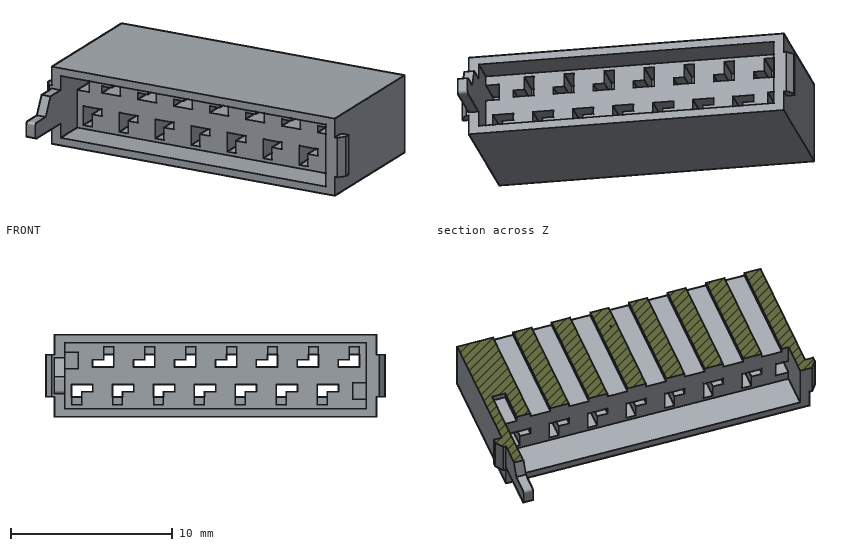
import cadquery as cq

housing_length = 19.99
housing_depth = 9.09
housing_height = 5.1

side_wall = 0.63
top_wall = 0.5
cavity_depth = 2.15
cavity_length = housing_length - 2 * side_wall
cavity_height = housing_height - 2 * top_wall

slots_per_row = 7
slot_row_span = 15.23
slot_pitch = slot_row_span / (slots_per_row - 1)
slot_width = 1.3
leg_width = 0.6
slot_inner_z = 0.55
slot_arm_z = 0.99
slot_through_z = 1.3
slot_outer_z = 1.8
slot_step_depth = 2.15

key_width = 0.85
key_height = 1.0
key_inner_z = 0.45
key_depth = 2.15

tab_reach = 0.53
tab_depth = 0.82
tab_height = 2.6
tab_tip_flat = 0.34
tab_front_reach = 0.17

peg_length = 3.3
peg_height = 2.2
peg_tip_height = 1.05
peg_shoulder = 1.33
peg_slope_end = 1.94
peg_tip_radius = 0.19


def box(x_min, x_max, y_min, y_max, z_min, z_max):
    """Axis-aligned block between the given limits."""
    size = (x_max - x_min, y_max - y_min, z_max - z_min)
    return cq.Workplane("XY").box(*size, centered=False).translate((x_min, y_min, z_min))


def half_turn(shape):
    """Copy of a shape rotated 180 degrees about the Y axis."""
    return shape.rotate((0, 0, 0), (0, 1, 0), 180)


def make_housing():
    """Solid block with the open cavity in its mating face."""
    block = box(
        -housing_length / 2, housing_length / 2,
        0, housing_depth,
        -housing_height / 2, housing_height / 2,
    )
    cavity = box(
        -cavity_length / 2, cavity_length / 2,
        0, cavity_depth,
        -cavity_height / 2, cavity_height / 2,
    )
    return block.cut(cavity)


def make_lower_slot(right_x):
    """L-shaped through slot whose leg is deepened outward by a blind step."""
    left_x = right_x - slot_width
    leg_right_x = left_x + leg_width
    arm = box(left_x, right_x, cavity_depth, housing_depth, -slot_arm_z, -slot_inner_z)
    leg = box(left_x, leg_right_x, cavity_depth, housing_depth, -slot_through_z, -slot_inner_z)
    step = box(
        left_x, leg_right_x,
        cavity_depth, cavity_depth + slot_step_depth,
        -slot_outer_z, -slot_inner_z,
    )
    return arm.union(leg).union(step)


def make_lower_key():
    """Blind recess in the cavity floor against the right end wall."""
    right_x = cavity_length / 2
    return box(
        right_x - key_width, right_x,
        cavity_depth, cavity_depth + key_depth,
        -key_inner_z - key_height, -key_inner_z,
    )


def make_right_tab():
    """Latch tab with a sloped lead-in toward the mating face."""
    root_x = housing_length / 2
    tip_x = root_x + tab_reach
    outline = [
        (root_x, 0),
        (root_x + tab_front_reach, 0),
        (tip_x, tab_depth - tab_tip_flat),
        (tip_x, tab_depth),
        (root_x, tab_depth),
    ]
    return cq.Workplane("XY").polyline(outline).close().extrude(tab_height / 2, both=True)


def make_peg():
    """Peg with a sloped shoulder and a rounded tip, as thick as the end wall."""
    bottom_z = -peg_height / 2
    tip_top_z = bottom_z + peg_tip_height
    outline = [
        (0, bottom_z),
        (-peg_length, bottom_z),
        (-peg_length, tip_top_z),
        (-peg_slope_end, tip_top_z),
        (-peg_shoulder, peg_height / 2),
        (0, peg_height / 2),
    ]
    peg = cq.Workplane("YZ").polyline(outline).close().extrude(side_wall)
    peg = peg.faces("<Y").edges("|X").fillet(peg_tip_radius)
    return peg.translate((-housing_length / 2, 0, 0))


result = make_housing()

for index in range(slots_per_row):
    offset = index - (slots_per_row - 1) / 2
    lower_slot = make_lower_slot(offset * slot_pitch)
    result = result.cut(lower_slot).cut(half_turn(lower_slot))

lower_key = make_lower_key()
result = result.cut(lower_key).cut(half_turn(lower_key))

right_tab = make_right_tab()
result = result.union(right_tab).union(half_turn(right_tab))

result = result.union(make_peg())